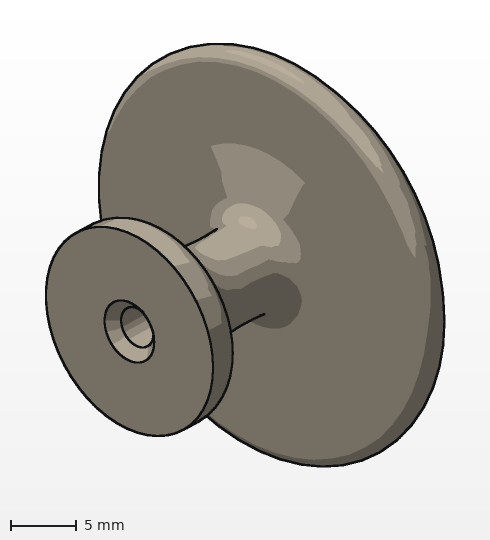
import cadquery as cq
import math


total_height = 23.0
foot_band_height = 1.65
cove_start_height = 3.1
cove_end_height = 8.85
neck_end_height = 12.62
neck_fillet_end_height = 14.55
head_underside_height = 14.98
rim_height = 16.0
dome_start_height = 17.1
crown_start_height = 21.9

head_radius = 17.1
foot_radius = 8.5
foot_shoulder_radius = 7.52
neck_radius = 3.7
neck_waist_radius = 3.63
neck_fillet_end_radius = 5.4
underside_cone_radius = 9.5
rim_fillet_radius = rim_height - head_underside_height
dome_start_radius = 16.8
crown_radius = 8.95

hole_radius = 1.65
countersink_radius = 2.53
countersink_depth = countersink_radius - hole_radius
hole_depth = 10.0
drill_point_angle = 118.0
drill_point_depth = hole_radius / math.tan(math.radians(drill_point_angle / 2))

crown_rise = total_height - crown_start_height
crown_edge_slope = 2 * math.atan2(crown_rise, crown_radius)
crown_edge_direction = (-math.cos(crown_edge_slope), math.sin(crown_edge_slope))


def arc_middle(start, end, bulge):
    """Middle point of an arc, offset by bulge to the right of the start-end chord."""
    dx = end[0] - start[0]
    dy = end[1] - start[1]
    chord = math.hypot(dx, dy)
    return ((start[0] + end[0]) / 2 + bulge * dy / chord, (start[1] + end[1]) / 2 - bulge * dx / chord)


def middle_of_tangent_arc(start, end, tangent, tangent_at_end=False):
    """Middle point of the arc that has the given direction at one of its ends."""
    dx = end[0] - start[0]
    dy = end[1] - start[1]
    turn = math.atan2(tangent[0] * dy - tangent[1] * dx, tangent[0] * dx + tangent[1] * dy)
    if tangent_at_end:
        turn = -turn
    bulge = math.hypot(dx, dy) / 2 * math.tan(turn / 2)
    return arc_middle(start, end, bulge)


def make_body():
    """Solid knob revolved from its half section (radius, height)."""
    along_axis = (0, 1)
    foot_edge = (foot_radius, foot_band_height)
    cove_start = (foot_shoulder_radius, cove_start_height)
    cove_end = (neck_radius, cove_end_height)
    neck_end = (neck_radius, neck_end_height)
    neck_waist = (neck_waist_radius, (cove_end_height + neck_end_height) / 2)
    neck_fillet_end = (neck_fillet_end_radius, neck_fillet_end_height)
    rim_start = (head_radius - rim_fillet_radius, head_underside_height)
    rim_edge = (head_radius, rim_height)
    dome_start = (dome_start_radius, dome_start_height)
    crown_start = (crown_radius, crown_start_height)
    crown_top = (0, total_height)

    section = (
        cq.Workplane("XY")
        .lineTo(foot_radius, 0)
        .lineTo(*foot_edge)
        .threePointArc(middle_of_tangent_arc(foot_edge, cove_start, along_axis), cove_start)
        .threePointArc(middle_of_tangent_arc(cove_start, cove_end, along_axis, True), cove_end)
        .threePointArc(neck_waist, neck_end)
        .threePointArc(middle_of_tangent_arc(neck_end, neck_fillet_end, along_axis), neck_fillet_end)
        .lineTo(underside_cone_radius, head_underside_height)
        .lineTo(*rim_start)
        .threePointArc(middle_of_tangent_arc(rim_start, rim_edge, along_axis, True), rim_edge)
        .threePointArc(middle_of_tangent_arc(rim_edge, dome_start, along_axis), dome_start)
        .threePointArc(
            middle_of_tangent_arc(dome_start, crown_start, crown_edge_direction, True), crown_start
        )
        .threePointArc(
            middle_of_tangent_arc(crown_start, crown_top, crown_edge_direction), crown_top
        )
        .close()
    )
    return section.revolve(360, (0, 0), (0, 1))


def make_screw_hole():
    """Countersunk blind hole with a drill point, opening on the mounting face."""
    section = (
        cq.Workplane("XY")
        .lineTo(countersink_radius, 0)
        .lineTo(hole_radius, countersink_depth)
        .lineTo(hole_radius, hole_depth)
        .lineTo(0, hole_depth + drill_point_depth)
        .close()
    )
    return section.revolve(360, (0, 0), (0, 1))


result = make_body().cut(make_screw_hole())